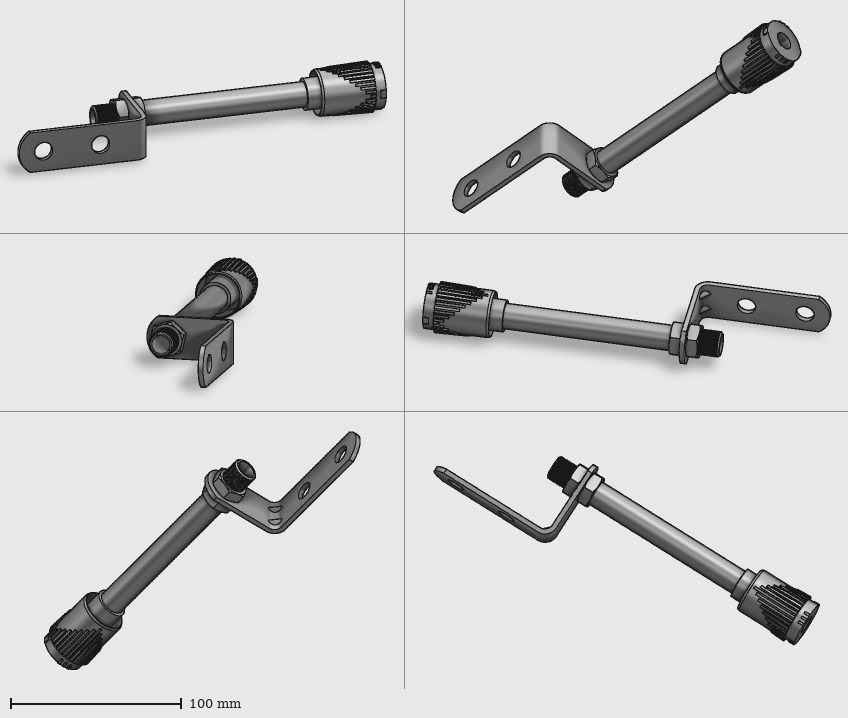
import cadquery as cq
import math


TUBE_DIAMETER = 15.2
BORE_DIAMETER = 11.0
THREAD_LENGTH = 12.5
THREAD_PITCH = 1.0
THREAD_DEPTH = 0.5
TUBE_CHAMFER = 1.0

NUT_WIDTH = 19.0
NUT_THICKNESS = 7.0
NUT_TURN = 17.5
NUT_CHAMFER_ANGLE = 30.0

PLATE_THICKNESS = 3.0
PLATE_WIDTH = 25.0
END_RADIUS = 15.0
BRACKET_LENGTH = 80.0
LEG_FACE_X = 40.0
SHORT_END_X = -13.5
BEND_RADIUS = 5.0
HOLE_DIAMETER = 11.0
HOLE_FROM_END = 15.0
HOLE_SPACING = 35.0
GUSSET_RUN = 6.3
GUSSET_ROUND = 1.1
GUSSET_OFFSET = 5.75

HEAD_REAR_Y = 153.5
HEAD_LENGTH = 39.4
HEAD_DIAMETER = 28.0
RIM_CHAMFER_LENGTH = 1.4
RIM_CHAMFER_DEPTH = 0.6
RECESS_DIAMETER = 26.0
RECESS_DEPTH = 20.0
COLLAR_DIAMETER = 19.0
COLLAR_LENGTH = 7.3
RING_DIAMETER = 27.0
RING_LENGTH = 6.6
SOCKET_DEPTH = 40.0
RIB_COUNT = 36
RIB_WIDTH = 1.5
RIB_OUTER_RADIUS = 15.195
RIB_TAPER = 0.03
RIB_LONGEST = 29.7
RIB_STEP = 2.95
TAB_LENGTH = 3.5
SIDE_TAB_WIDTH = 5.0
TOP_TAB_WIDTH = 1.4
TOP_TAB_SPREAD = 14.0

front_nut_rear_y = -PLATE_THICKNESS
front_nut_front_y = front_nut_rear_y - NUT_THICKNESS
tube_front_y = front_nut_front_y - THREAD_LENGTH
head_front_y = HEAD_REAR_Y - HEAD_LENGTH
collar_front_y = head_front_y - COLLAR_LENGTH
ring_front_y = HEAD_REAR_Y - RING_LENGTH
tube_rear_y = collar_front_y + SOCKET_DEPTH
leg_inner_x = LEG_FACE_X - PLATE_THICKNESS


def cylinder(diameter, start_y, end_y):
    """Cylinder on the Y axis."""
    disc = cq.Workplane("XZ", origin=(0, start_y, 0)).circle(diameter / 2)
    return disc.extrude(start_y - end_y)


def turned(outline):
    """Solid of revolution about Y from (radius, y) points."""
    return cq.Workplane("XY").polyline(outline).close().revolve(360, (0, 0, 0), (0, 1, 0))


def turn_about_axis(body, angle):
    return body.rotate((0, 0, 0), (0, 1, 0), angle)


def make_tube():
    tube = cylinder(TUBE_DIAMETER, tube_front_y, tube_rear_y)
    tube = tube.faces("<Y").chamfer(TUBE_CHAMFER)
    tube = tube.cut(cylinder(BORE_DIAMETER, tube_front_y, tube_rear_y))
    crest = TUBE_DIAMETER / 2
    for turn in range(1, math.floor(THREAD_LENGTH / THREAD_PITCH)):
        groove_y = front_nut_front_y - turn * THREAD_PITCH
        groove = turned([
            (crest, groove_y - THREAD_PITCH / 2),
            (crest - THREAD_DEPTH, groove_y),
            (crest, groove_y + THREAD_PITCH / 2),
        ])
        tube = tube.cut(groove)
    return tube


def make_nut(front_y):
    """Hexagon nut, corners chamfered on both faces."""
    rear_y = front_y + NUT_THICKNESS
    face_radius = NUT_WIDTH / 2
    corner_radius = face_radius / math.cos(math.pi / 6)
    chamfer_depth = (corner_radius - face_radius) * math.tan(math.radians(NUT_CHAMFER_ANGLE))
    hexagon = cq.Workplane("XZ", origin=(0, front_y, 0)).polygon(6, 2 * corner_radius)
    nut = turn_about_axis(hexagon.extrude(-NUT_THICKNESS), -NUT_TURN)
    envelope = turned([
        (0, front_y),
        (face_radius, front_y),
        (corner_radius, front_y + chamfer_depth),
        (corner_radius, rear_y - chamfer_depth),
        (face_radius, rear_y),
        (0, rear_y),
    ])
    return nut.intersect(envelope).cut(cylinder(TUBE_DIAMETER, front_y, rear_y))


def rounded_strip(plane, reach, start, end):
    """Outline of a leg with an arc end whose tip is at `end`, extruded by `reach` both ways."""
    half = PLATE_WIDTH / 2
    rise = END_RADIUS - math.sqrt(END_RADIUS ** 2 - half ** 2)
    shoulder = end + math.copysign(rise, start - end)
    return (
        cq.Workplane(plane)
        .moveTo(start, -half)
        .lineTo(shoulder, -half)
        .threePointArc((end, 0), (shoulder, half))
        .lineTo(start, half)
        .close()
        .extrude(reach, both=True)
    )


def make_gusset(middle_z):
    """Roof-shaped stiffener across the bend, its ridge at 45 degrees."""
    ridge_start = (leg_inner_x - GUSSET_RUN, -PLATE_THICKNESS)
    ridge_end = (leg_inner_x, -PLATE_THICKNESS - GUSSET_RUN)
    half_width = GUSSET_RUN / math.sqrt(2)
    mid_ridge = (leg_inner_x - GUSSET_RUN / 2, -PLATE_THICKNESS - GUSSET_RUN / 2, middle_z)
    along_ridge = cq.Plane(origin=(*ridge_start, middle_z), xDir=(0, 0, -1), normal=(1, -1, 0))
    roof = (
        cq.Workplane(along_ridge)
        .polyline([(0, 0), (half_width, half_width), (-half_width, half_width)])
        .close()
        .extrude(GUSSET_RUN * math.sqrt(2))
        .edges(cq.NearestToPointSelector(mid_ridge))
        .fillet(GUSSET_ROUND)
    )
    corner = (
        cq.Workplane("XY", origin=(0, 0, middle_z - half_width))
        .polyline([ridge_start, (leg_inner_x, -PLATE_THICKNESS), ridge_end])
        .close()
        .extrude(2 * half_width)
    )
    return roof.intersect(corner)


def make_bracket():
    outer_radius = BEND_RADIUS + PLATE_THICKNESS
    angle = (
        cq.Workplane("XY", origin=(0, 0, -PLATE_WIDTH / 2))
        .moveTo(SHORT_END_X, 0)
        .lineTo(LEG_FACE_X - outer_radius, 0)
        .radiusArc((LEG_FACE_X, -outer_radius), outer_radius)
        .lineTo(LEG_FACE_X, -BRACKET_LENGTH)
        .lineTo(leg_inner_x, -BRACKET_LENGTH)
        .lineTo(leg_inner_x, -outer_radius)
        .radiusArc((leg_inner_x - BEND_RADIUS, -PLATE_THICKNESS), -BEND_RADIUS)
        .lineTo(SHORT_END_X, -PLATE_THICKNESS)
        .close()
        .extrude(PLATE_WIDTH)
    )
    short_outline = rounded_strip("XZ", BRACKET_LENGTH, LEG_FACE_X, SHORT_END_X)
    long_outline = rounded_strip("YZ", LEG_FACE_X, 0, -BRACKET_LENGTH)
    bracket = angle.intersect(short_outline).intersect(long_outline)
    for side in (-1, 1):
        bracket = bracket.union(make_gusset(side * GUSSET_OFFSET))
    bracket = bracket.cut(cylinder(TUBE_DIAMETER, -PLATE_THICKNESS, 0))
    end_hole_y = HOLE_FROM_END - BRACKET_LENGTH
    holes = (
        cq.Workplane("YZ", origin=(leg_inner_x, 0, 0))
        .pushPoints([(end_hole_y, 0), (end_hole_y + HOLE_SPACING, 0)])
        .circle(HOLE_DIAMETER / 2)
        .extrude(PLATE_THICKNESS)
    )
    return bracket.cut(holes)


def make_rib(length):
    """Grip rib at +Z, running forward from the ring with a tapering height."""
    root = RECESS_DIAMETER / 2
    tip_y = ring_front_y - length
    return (
        cq.Workplane("YZ")
        .polyline([
            (ring_front_y, root),
            (ring_front_y, RIB_OUTER_RADIUS),
            (tip_y, RIB_OUTER_RADIUS - RIB_TAPER * length),
            (tip_y, root),
        ])
        .close()
        .extrude(RIB_WIDTH / 2, both=True)
    )


def make_tab(width):
    """Raised tab at +Z on the ring, flush with the head's diameter."""
    sector = cq.Workplane("XY").box(width, TAB_LENGTH, HEAD_DIAMETER / 2, centered=(True, False, False))
    sector = sector.translate((0, HEAD_REAR_Y - TAB_LENGTH, 0))
    sleeve = cylinder(HEAD_DIAMETER, ring_front_y, HEAD_REAR_Y)
    return sector.intersect(sleeve)


def make_head():
    body_radius = HEAD_DIAMETER / 2
    head = turned([
        (0, head_front_y),
        (body_radius - RIM_CHAMFER_DEPTH, head_front_y),
        (body_radius, head_front_y + RIM_CHAMFER_LENGTH),
        (body_radius, ring_front_y),
        (RING_DIAMETER / 2, ring_front_y),
        (RING_DIAMETER / 2, HEAD_REAR_Y),
        (0, HEAD_REAR_Y),
    ])
    half_count = RIB_COUNT // 2
    for index in range(RIB_COUNT):
        place = index % half_count
        steps_from_vertical = min(place, half_count - place)
        rib = make_rib(RIB_LONGEST - RIB_STEP * steps_from_vertical)
        head = head.union(turn_about_axis(rib, index * 360 / RIB_COUNT))
    for side in (0, 180):
        head = head.union(turn_about_axis(make_tab(SIDE_TAB_WIDTH), side + 90))
        for position in (-1, 0, 1):
            tab_angle = side + position * TOP_TAB_SPREAD
            head = head.union(turn_about_axis(make_tab(TOP_TAB_WIDTH), tab_angle))
    recess_end_y = head_front_y + RECESS_DEPTH
    head = head.cut(cylinder(RECESS_DIAMETER, head_front_y, recess_end_y))
    head = head.union(cylinder(COLLAR_DIAMETER, collar_front_y, recess_end_y))
    head = head.cut(cylinder(BORE_DIAMETER, tube_rear_y, HEAD_REAR_Y))
    return head.cut(cylinder(TUBE_DIAMETER, collar_front_y, tube_rear_y))


tube = make_tube()
head = make_head()
bracket = make_bracket()
nuts = [make_nut(front_y) for front_y in (front_nut_front_y, 0)]

result = cq.Compound.makeCompound([
    tube.val(),
    head.val(),
    bracket.val(),
    *[nut.val() for nut in nuts],
])